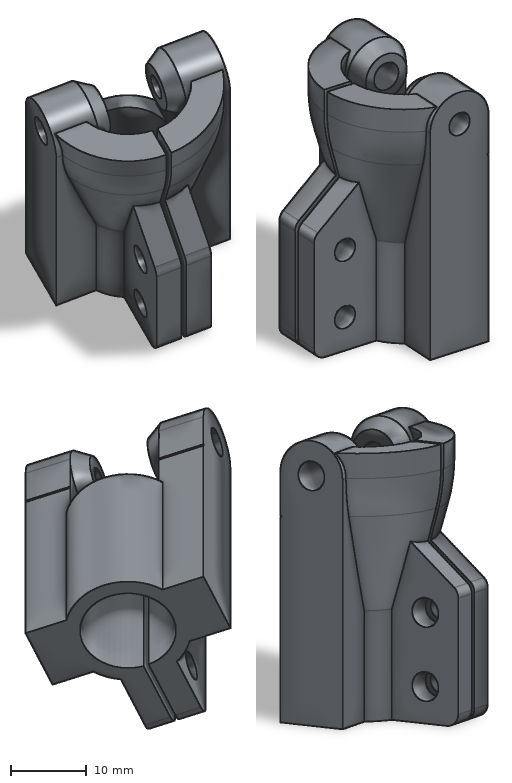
import cadquery as cq
import math

TOTAL_HEIGHT = 38.43
HALF_DEPTH = 25.4 / 2
BORE_RADIUS = 6.35
SLEEVE_RADIUS = 8.35
SLEEVE_HEIGHT = 22.65
SLIT_WIDTH = 0.73
CUT_MARGIN = 3.85

FLARE_START_Z = 15.0
FLARE_END_Z = 28.45
FLARE_END_RADIUS = 12.0
SEAT_Z = 27.75
COLLAR_TOP_Z = 37.05

POST_RADIUS = 4.73
PIVOT_Z = TOTAL_HEIGHT - POST_RADIUS
BOSS_TIP_RADIUS = 3.3
BOSS_LENGTH = 2.23
NOTCH_TOP_Z = SEAT_Z + 0.1
NOTCH_HEIGHT = 0.3
NOTCH_DEPTH = 0.15

LUG_END_X = 17.37
LUG_HALF_THICKNESS = 4.0
LUG_SLOPE_ANGLE = 40.0
LUG_CORNER_Z = 18.25
LUG_CORNER_RADIUS = 1.75
LUG_HOLE_X = LUG_END_X - 5.0
LUG_HOLE_PITCH = 10.0
LUG_HOLE_BOTTOM_Z = LUG_HOLE_PITCH / 2

CLEARANCE_DIAMETER = 3.95
THREAD_DIAMETER = 3.3


def make_sleeve():
    """Solid cylinder of the lower sleeve."""
    return cq.Workplane("XY").circle(SLEEVE_RADIUS).extrude(SLEEVE_HEIGHT)


def make_collar():
    """Half turn of the flared collar: cone, tangent rounding, then a straight rim."""
    return (
        cq.Workplane("XZ")
        .moveTo(0, 0)
        .lineTo(SLEEVE_RADIUS, 0)
        .lineTo(SLEEVE_RADIUS, FLARE_START_Z)
        .lineTo(FLARE_END_RADIUS, FLARE_END_Z)
        .tangentArcPoint((HALF_DEPTH, PIVOT_Z), relative=False)
        .lineTo(HALF_DEPTH, COLLAR_TOP_Z)
        .lineTo(0, COLLAR_TOP_Z)
        .close()
        .revolve(180, (0, 0, 0), (0, 1, 0))
        .rotate((0, 0, 0), (0, 0, 1), -90)
    )


def make_lug_plate():
    """Plate for both lugs, from the bore axis out to the rounded, sloped end."""
    slope_rise = LUG_END_X * math.tan(math.radians(LUG_SLOPE_ANGLE))
    return (
        cq.Workplane("XZ")
        .moveTo(0, 0)
        .lineTo(LUG_END_X, 0)
        .lineTo(LUG_END_X, LUG_CORNER_Z)
        .lineTo(0, LUG_CORNER_Z + slope_rise)
        .close()
        .extrude(LUG_HALF_THICKNESS, both=True)
        .edges("|Y and >X")
        .fillet(LUG_CORNER_RADIUS)
    )


def make_bore():
    """Through bore, widened to the collar seat on the +X side."""
    bore = cq.Workplane("XY").circle(BORE_RADIUS).extrude(TOTAL_HEIGHT)
    seat = cq.Workplane("XY").workplane(offset=SEAT_Z).circle(SLEEVE_RADIUS).extrude(TOTAL_HEIGHT - SEAT_Z)
    return bore.union(seat)


def make_slit():
    """Slit that splits the +X wall and separates the two lugs."""
    return cq.Workplane("XY").box(
        LUG_END_X + CUT_MARGIN, SLIT_WIDTH, TOTAL_HEIGHT, centered=(False, True, False)
    )


def make_post():
    """Post on the -Y side: round-topped bar, notch in its -X face, conical boss towards the axis."""
    bar = (
        cq.Workplane("XZ", origin=(0, -BORE_RADIUS, 0))
        .moveTo(-POST_RADIUS, 0)
        .lineTo(POST_RADIUS, 0)
        .lineTo(POST_RADIUS, PIVOT_Z)
        .threePointArc((0, TOTAL_HEIGHT), (-POST_RADIUS, PIVOT_Z))
        .close()
        .extrude(HALF_DEPTH - BORE_RADIUS)
    )
    notch = (
        cq.Workplane("XZ", origin=(0, -BORE_RADIUS, 0))
        .moveTo(-POST_RADIUS, NOTCH_TOP_Z)
        .lineTo(-POST_RADIUS + NOTCH_DEPTH, NOTCH_TOP_Z)
        .lineTo(-POST_RADIUS, NOTCH_TOP_Z - NOTCH_HEIGHT)
        .close()
        .extrude(HALF_DEPTH - BORE_RADIUS)
    )
    boss = cq.Workplane(
        cq.Solid.makeCone(
            POST_RADIUS,
            BOSS_TIP_RADIUS,
            BOSS_LENGTH,
            pnt=cq.Vector(0, -BORE_RADIUS, PIVOT_Z),
            dir=cq.Vector(0, 1, 0),
        )
    )
    return bar.cut(notch).union(boss)


def make_screw_hole(x, z):
    """Stepped hole along Y that changes diameter at the slit."""
    length = HALF_DEPTH + CUT_MARGIN
    start = cq.Workplane("XZ").center(x, z)
    clearance = start.circle(CLEARANCE_DIAMETER / 2).extrude(length)
    thread = start.circle(THREAD_DIAMETER / 2).extrude(-length)
    return clearance.union(thread)


body = make_sleeve().union(make_collar()).union(make_lug_plate())
body = body.cut(make_bore()).cut(make_slit())

post = make_post()
body = body.union(post).union(post.mirror("XZ"))

hole_centres = [
    (0, PIVOT_Z),
    (LUG_HOLE_X, LUG_HOLE_BOTTOM_Z),
    (LUG_HOLE_X, LUG_HOLE_BOTTOM_Z + LUG_HOLE_PITCH),
]
for hole_x, hole_z in hole_centres:
    body = body.cut(make_screw_hole(hole_x, hole_z))

result = body